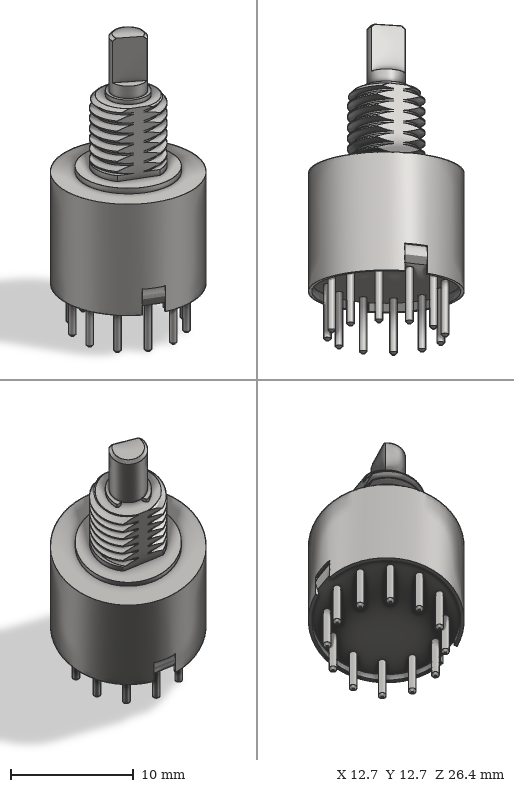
import cadquery as cq
import math

pin_length = 4.0
body_height = 10.0
flange_height = 0.5
bushing_height = 6.4
shaft_height = 5.5

body_bottom = pin_length
flange_bottom = body_bottom + body_height
bushing_bottom = flange_bottom + flange_height
bushing_top = bushing_bottom + bushing_height

body_radius = 6.35
flange_radius = 4.33

recess_depth = 0.75
recess_radius = 6.07
notch_width = 2.0
notch_height = 2.32
tab_projection = 0.18
tab_land = 0.32

pin_count = 12
pin_circle_radius = 4.83
pin_radius = 0.32
pin_chamfer = 0.2

thread_radius = 3.17
thread_pitch = 0.908
thread_depth = 0.55
flank_angle = 30
thread_phase = 0.05
collar_height = 0.53
flat_spacing = 5.15
bushing_chamfer = 0.48

shaft_radius = 1.58
shaft_chamfer = 0.26
d_flat_length = 3.99
d_flat_offset = 0.7
d_flat_angle = -10

clip_thickness = 0.4
clip_outer_radius = 1.87
clip_inner_radius = 1.25
clip_gap_angle = 165
clip_arm_radius = 2.32
clip_arm_sweep = 43.5
clip_corner_radius = 0.2


def disc(radius, bottom, height):
    return cq.Workplane("XY").workplane(offset=bottom).circle(radius).extrude(height)


def make_body():
    body = disc(body_radius, body_bottom, body_height)
    body = body.union(disc(flange_radius, flange_bottom, flange_height))
    body = body.cut(disc(recess_radius, body_bottom, recess_depth))

    slot = cq.Workplane("XY").workplane(offset=body_bottom)
    body = body.cut(slot.rect(2 * body_radius, notch_width).extrude(recess_depth))

    tab_bottom = body_bottom + recess_depth
    tab_top = body_bottom + notch_height
    tab_slope_height = (tab_top - tab_bottom - tab_land) / 2
    tab_front = recess_radius + tab_projection
    gap_outline = [
        (recess_radius, tab_bottom),
        (tab_front, tab_bottom + tab_slope_height),
        (tab_front, tab_top - tab_slope_height),
        (recess_radius, tab_top),
        (body_radius, tab_top),
        (body_radius, tab_bottom),
    ]
    gap = cq.Workplane("XZ").polyline(gap_outline).close().extrude(notch_width / 2, both=True)
    return body.cut(gap).cut(gap.mirror("YZ"))


def make_pins():
    height = pin_length + recess_depth
    pins = cq.Workplane("XY").polarArray(pin_circle_radius, 0, 360, pin_count)
    return pins.circle(pin_radius).extrude(height).faces("<Z").chamfer(pin_chamfer)


def make_thread_groove(start, end):
    overlap = 0.05
    crest_width = thread_pitch / 8
    spread = math.tan(math.radians(flank_angle))
    outer_half = (thread_pitch - crest_width) / 2 + overlap * spread
    root_half = outer_half - (thread_depth + overlap) * spread
    root_radius = thread_radius - thread_depth
    outer_radius = thread_radius + overlap

    helix = cq.Wire.makeHelix(thread_pitch, end - start, thread_radius, center=cq.Vector(0, 0, start))
    profile = cq.Workplane("XZ").polyline([
        (root_radius, start - root_half),
        (outer_radius, start - outer_half),
        (outer_radius, start + outer_half),
        (root_radius, start + root_half),
    ]).close()
    return profile.sweep(cq.Workplane(helix), isFrenet=True)


def make_bushing():
    collar_top = bushing_bottom + collar_height
    groove_start = collar_top - (1 + thread_phase) * thread_pitch
    groove_end = bushing_top + 2 * thread_pitch

    rod_bottom = groove_start - thread_pitch
    rod = disc(thread_radius, rod_bottom, groove_end + thread_pitch - rod_bottom)
    rod = rod.cut(make_thread_groove(groove_start, groove_end))

    slab = cq.Workplane("XY").workplane(offset=bushing_bottom)
    blank = disc(thread_radius, bushing_bottom, bushing_height).faces(">Z").chamfer(bushing_chamfer)
    blank = blank.intersect(slab.rect(flat_spacing, 3 * thread_radius).extrude(bushing_height))
    collar_zone = disc(2 * thread_radius, bushing_bottom, collar_height)
    return rod.intersect(blank.cut(collar_zone)).union(blank.intersect(collar_zone))


def make_shaft():
    foot = disc(clip_inner_radius, bushing_top, clip_thickness)
    shaft = disc(shaft_radius, bushing_top + clip_thickness, shaft_height - clip_thickness)
    shaft = shaft.faces(">Z").chamfer(shaft_chamfer)
    shaft_top = bushing_top + shaft_height
    d_cut = (
        cq.Workplane("XY")
        .workplane(offset=shaft_top - d_flat_length)
        .center(d_flat_offset + shaft_radius, 0)
        .rect(2 * shaft_radius, 3 * shaft_radius)
        .extrude(d_flat_length)
        .rotate((0, 0, 0), (0, 0, 1), d_flat_angle)
    )
    return foot.union(shaft.cut(d_cut))


def make_clip():
    arm_centre_shift = clip_arm_radius - clip_outer_radius
    arm_inner_radius = clip_inner_radius + arm_centre_shift

    def arm_point(radius, sweep, side):
        angle = math.radians(sweep)
        x = radius * math.sin(angle)
        y = radius * math.cos(angle) - arm_centre_shift
        return (x, side * y)

    middle = clip_arm_sweep / 2
    clip = (
        cq.Workplane("XY")
        .workplane(offset=bushing_top)
        .moveTo(*arm_point(clip_arm_radius, clip_arm_sweep, 1))
        .threePointArc(arm_point(clip_arm_radius, middle, 1), (0, clip_outer_radius))
        .threePointArc((-clip_outer_radius, 0), (0, -clip_outer_radius))
        .threePointArc(
            arm_point(clip_arm_radius, middle, -1),
            arm_point(clip_arm_radius, clip_arm_sweep, -1),
        )
        .lineTo(*arm_point(arm_inner_radius, clip_arm_sweep, -1))
        .threePointArc(arm_point(arm_inner_radius, middle, -1), (0, -clip_inner_radius))
        .threePointArc((-clip_inner_radius, 0), (0, clip_inner_radius))
        .threePointArc(
            arm_point(arm_inner_radius, middle, 1),
            arm_point(arm_inner_radius, clip_arm_sweep, 1),
        )
        .close()
        .extrude(clip_thickness)
    )
    tip_edges = clip.edges("|Z").filter(lambda edge: edge.Center().x > clip_corner_radius)
    clip = tip_edges.fillet(clip_corner_radius)
    return clip.rotate((0, 0, 0), (0, 0, 1), clip_gap_angle)


result = make_body().union(make_pins()).union(make_bushing()).union(make_shaft()).union(make_clip())